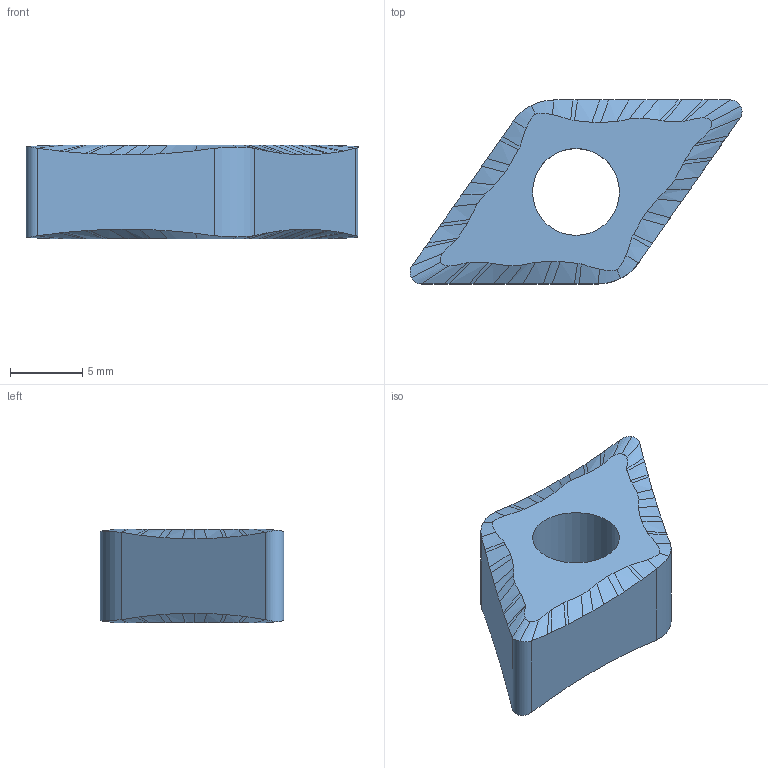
import cadquery as cq
import math


inscribed_diameter = 12.7
thickness = 6.46
acute_angle = 55.0
acute_radius = 0.8
obtuse_radius = 3.4
hole_diameter = 6.0

side_drop = 0.66
tangent_drop = 0.21
acute_tip_drop = 0.08
obtuse_tip_drop = 0.13

overshoot = 1.25

side_rulings = [
    (-0.23, -0.36, 1.38),
    (0.10, -0.10, 1.42),
    (1.64, 1.09, 1.54),
    (2.26, 1.70, 1.55),
    (3.64, 2.81, 1.49),
    (4.69, 3.70, 1.31),
    (5.68, 4.57, 1.25),
    (7.10, 5.79, 1.40),
    (7.36, 6.08, 1.46),
    (8.76, 7.30, 1.49),
    (9.16, 7.50, 1.47),
]
obtuse_rim = (-1.62, 1.01)
acute_rim = (8.78, 1.235)
obtuse_rim_depth = 0.98
acute_rim_depth = 1.49

half_width = inscribed_diameter / 2
half_thickness = thickness / 2
half_angle = math.radians(acute_angle / 2)
acute_vertex_x = half_width / math.tan(half_angle)
obtuse_vertex_x = -half_width * math.tan(half_angle)
acute_tangent_x = acute_vertex_x - acute_radius / math.tan(half_angle)
obtuse_tangent_x = obtuse_vertex_x + obtuse_radius * math.tan(half_angle)
side_middle_x = (acute_tangent_x + obtuse_tangent_x) / 2
half_side = (acute_tangent_x - obtuse_tangent_x) / 2

long_diagonal = cq.Vector(math.cos(half_angle), math.sin(half_angle), 0)
short_diagonal = cq.Vector(-math.sin(half_angle), math.cos(half_angle), 0)


def mirrored(point, normal):
    """Mirror a point in the plane through the origin with the given unit normal."""
    return point - normal * (2 * point.dot(normal))


def edge_point(x):
    """Point of the sagging cutting edge on the straight part of the side."""
    sag = 1 - ((x - side_middle_x) / half_side) ** 2
    drop = tangent_drop + (side_drop - tangent_drop) * sag
    return cq.Vector(x, half_width, half_thickness - drop)


def rim_point(x, depth):
    """Point of the flat face's rim at a given distance from the wall."""
    return cq.Vector(x, half_width - depth, half_thickness)


def tip_point(direction, vertex_x, radius, drop):
    """Cutting edge point where a diagonal leaves through a rounded corner."""
    vertex_distance = math.hypot(vertex_x, half_width)
    centre_distance = vertex_distance * (1 - radius / half_width)
    return direction * (centre_distance + radius) + cq.Vector(0, 0, half_thickness - drop)


def rim_on_diagonal(vertex_x, depth):
    """Point where a diagonal meets the rim of the flat face."""
    return rim_point(vertex_x * (half_width - depth) / half_width, depth)


def quarter_rulings():
    """Cutting edge and rim points, from the short diagonal to the long one."""
    edge = [
        tip_point(short_diagonal, obtuse_vertex_x, obtuse_radius, obtuse_tip_drop),
        edge_point(obtuse_tangent_x),
    ]
    rim = [rim_on_diagonal(obtuse_vertex_x, obtuse_rim_depth), rim_point(*obtuse_rim)]
    for edge_x, rim_x, depth in side_rulings:
        edge.append(edge_point(edge_x))
        rim.append(rim_point(rim_x, depth))
    edge.append(edge_point(acute_tangent_x))
    edge.append(tip_point(long_diagonal, acute_vertex_x, acute_radius, acute_tip_drop))
    rim.append(rim_point(*acute_rim))
    rim.append(rim_on_diagonal(acute_vertex_x, acute_rim_depth))
    return edge, rim


def smooth_edges(points):
    """Chain of curves through the points, tangent to each other and across the diagonals."""
    before = mirrored(points[1], long_diagonal)
    after = mirrored(points[-2], short_diagonal)
    padded = [before] + points + [after]
    edges = []
    for i in range(1, len(points)):
        start_tangent = padded[i + 1] - padded[i - 1]
        end_tangent = padded[i + 2] - padded[i]
        ends = [padded[i], padded[i + 1]]
        edges.append(cq.Edge.makeSpline(ends, [start_tangent, end_tangent]))
    return edges


def quarter_faces():
    """Upper and lower faces of one quarter, with an outer wall beyond the real one."""
    edge, rim = quarter_rulings()
    outer = [r + (e - r) * overshoot for e, r in zip(edge, rim)]
    outer_edges = smooth_edges(outer)
    rim_edges = smooth_edges(rim)

    face_centre = cq.Vector(0, 0, half_thickness)
    first_spoke = cq.Edge.makeLine(face_centre, rim[0])
    last_spoke = cq.Edge.makeLine(rim[-1], face_centre)
    flat = cq.Face.makeFromWires(cq.Wire.assembleEdges([first_spoke] + rim_edges + [last_spoke]))

    upper = [flat]
    walls = []
    for outer_edge, rim_edge in zip(outer_edges, rim_edges):
        upper.append(cq.Face.makeRuledSurface(outer_edge, rim_edge))
        walls.append(cq.Face.makeRuledSurface(outer_edge, outer_edge.mirror("XY")))
    lower = [face.mirror("XY") for face in upper]
    return upper + lower + walls


def chip_breaker_envelope():
    """Solid bounded by both flat faces and chip breakers, slightly wider than the insert."""
    quarter = quarter_faces()
    half = quarter + [face.mirror(short_diagonal) for face in quarter]
    other_half = [face.mirror(long_diagonal) for face in half]
    solid = cq.Solid.makeSolid(cq.Shell.makeShell(half + other_half))
    return cq.Workplane(obj=solid.fix()).clean()


def rounded_ends(prism, diagonal, radius):
    """Round the two upright edges at the ends of a diagonal."""
    for outward in (diagonal, diagonal * -1):
        end_edge = cq.selectors.DirectionMinMaxSelector(outward, True)
        prism = prism.edges("|Z").edges(end_edge).fillet(radius)
    return prism


def rhombic_prism():
    """Plain insert body with rounded corners."""
    corners = [
        (acute_vertex_x, half_width),
        (obtuse_vertex_x, half_width),
        (-acute_vertex_x, -half_width),
        (-obtuse_vertex_x, -half_width),
    ]
    prism = cq.Workplane("XY").polyline(corners).close().extrude(half_thickness, both=True)
    prism = rounded_ends(prism, short_diagonal, obtuse_radius)
    return rounded_ends(prism, long_diagonal, acute_radius)


def clamping_hole():
    """Cylinder for the through hole in the centre."""
    return cq.Workplane("XY").circle(hole_diameter / 2).extrude(half_thickness, both=True)


result = rhombic_prism().intersect(chip_breaker_envelope()).cut(clamping_hole())